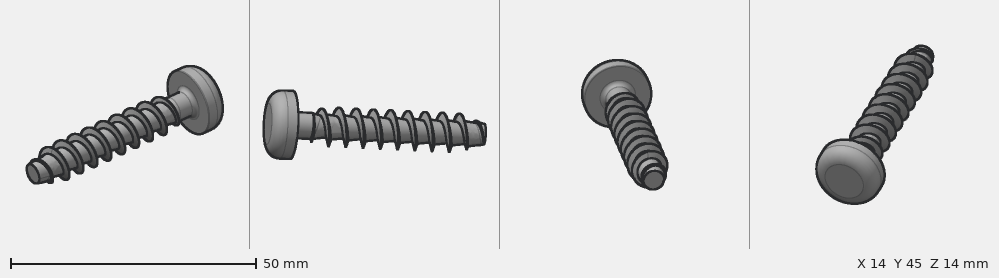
import cadquery as cq
import math


head_radius = 7.0
head_height = 4.99
dome_radius = 2.8
rim_fillet = 0.15

shank_length = 40.0
shank_radius = 2.7
neck_fillet = 1.0
neck_length = 4.0
head_overlap = 0.5
core_radius = 2.27
core_start = -5.7
tip_radius = 2.13
tip_cone_slope = 0.22

pitch = 3.59
thread_radius = 4.0
crest_half_width = 0.05
root_half_width = 0.65
root_radius = 2.1
runin_radius = 3.2
runin_z = -4.11
runin_angle = 90.0
runin_turns = 1.0
fin_sweep = 180.0
fin_end_radius = 2.6
runout_turns = 1.4
end_crest_radius = 2.2
thread_end_gap = 0.3

ramp_radius = 2.67
ramp_top_offset = -0.15
ramp_slope = (ramp_radius - core_radius) / (pitch - root_half_width + ramp_top_offset)
ramp_gap = 0.3
ramp_length = pitch - ramp_gap
ramp_base_radius = 1.8
ramp_clearance = 0.1
ramp_lead_turns = 0.5

tip_z = -shank_length
straight_helix = 360.0


def angle_at(z):
    """Direction, in degrees, of the thread centre line at height z."""
    return runin_angle + 360.0 * (z - runin_z) / pitch


def helix_edge(radius, radius_slope, z_bottom, z_top, offset):
    """Helix of the thread centre line between two heights, shifted along the axis by
    offset. The radius starts at the bottom and grows by radius_slope per millimetre."""
    half_angle = math.atan(radius_slope)
    stretch = 1.0 / math.cos(half_angle)
    helix = cq.Wire.makeHelix(
        pitch * stretch,
        (z_top - z_bottom) * stretch,
        radius,
        angle=math.degrees(half_angle) if radius_slope else straight_helix,
    )
    helix = helix.rotate(cq.Vector(0, 0, 0), cq.Vector(0, 0, 1), angle_at(z_bottom))
    return helix.translate(cq.Vector(0, 0, z_bottom + offset)).Edges()[0]


def section_point(radius, offset, z):
    """Point of a thread section placed at height z of the centre line."""
    turn = math.radians(angle_at(z))
    return cq.Vector(radius * math.cos(turn), radius * math.sin(turn), z + offset)


def helical_solid(profile, stations):
    """Solid swept by a (radius, offset) profile along the thread centre line.
    Stations are (z, radius shift) pairs from bottom to top; the shift is linear between."""
    faces = []
    for (z_low, shift_low), (z_high, shift_high) in zip(stations, stations[1:]):
        slope = (shift_high - shift_low) / (z_high - z_low)
        edges = [helix_edge(r + shift_low, slope, z_low, z_high, dz) for r, dz in profile]
        for edge, next_edge in zip(edges, edges[1:] + edges[:1]):
            faces.append(cq.Face.makeRuledSurface(edge, next_edge))
    for z, shift in (stations[0], stations[-1]):
        corners = [section_point(r + shift, dz, z) for r, dz in profile]
        faces.append(cq.Face.makeFromWires(cq.Wire.makePolygon(corners, close=True)))
    shell = cq.Shell.makeShell(faces)
    return cq.Workplane(cq.Solid.makeSolid(shell).fix())


def make_head():
    """Pan head with a domed top edge and a lightly rounded lower rim."""
    head = cq.Workplane("XY").circle(head_radius).extrude(head_height)
    head = head.faces(">Z").edges().fillet(dome_radius)
    return head.faces("<Z").edges().fillet(rim_fillet)


def make_core():
    """Shank with its neck fillet, narrowing to the core and the tip cone."""
    cone_height = (core_radius - tip_radius) / tip_cone_slope
    arc_mid = neck_fillet * (1.0 - math.sqrt(0.5))
    return (
        cq.Workplane("XZ")
        .moveTo(0, head_overlap)
        .lineTo(shank_radius + neck_fillet, head_overlap)
        .lineTo(shank_radius + neck_fillet, 0)
        .threePointArc((shank_radius + arc_mid, -arc_mid), (shank_radius, -neck_fillet))
        .lineTo(shank_radius, -neck_length)
        .lineTo(core_radius, core_start)
        .lineTo(core_radius, tip_z + cone_height)
        .lineTo(tip_radius, tip_z)
        .lineTo(0, tip_z)
        .close()
        .revolve(360, (0, 0, 0), (0, 1, 0))
    )


def make_root_ramp():
    """Helical swelling of the core, trimmed by the tip cone."""
    profile = [
        (ramp_base_radius, ramp_top_offset),
        (ramp_radius, ramp_top_offset),
        (ramp_radius - ramp_slope * ramp_length, ramp_top_offset - ramp_length),
        (ramp_base_radius, ramp_top_offset - ramp_length),
    ]
    z_bottom = tip_z - ramp_lead_turns * pitch
    z_top = runin_z + ramp_lead_turns * pitch
    ramp = helical_solid(profile, [(z_bottom, 0), (z_top, 0)])
    limit_radius = ramp_radius + ramp_clearance
    cone_top = tip_z + (limit_radius - tip_radius) / tip_cone_slope
    limit = (
        cq.Workplane("XZ")
        .moveTo(0, tip_z)
        .lineTo(tip_radius, tip_z)
        .lineTo(limit_radius, cone_top)
        .lineTo(limit_radius, 0)
        .lineTo(0, 0)
        .close()
        .revolve(360, (0, 0, 0), (0, 1, 0))
    )
    return ramp.intersect(limit)


def make_thread():
    """Main thread: rises over the first turn and sinks into the core at the tip."""
    profile = [
        (root_radius, root_half_width),
        (thread_radius, crest_half_width),
        (thread_radius, -crest_half_width),
        (root_radius, -root_half_width),
    ]
    end_z = tip_z + thread_end_gap
    stations = [
        (end_z, end_crest_radius - thread_radius),
        (end_z + runout_turns * pitch, 0),
        (runin_z - runin_turns * pitch, 0),
        (runin_z, runin_radius - thread_radius),
    ]
    below_tip = cq.Workplane("XY").workplane(offset=tip_z).circle(head_radius).extrude(-pitch)
    return helical_solid(profile, stations).cut(below_tip)


def make_runin_fin():
    """Flat eccentric half ring that leads from the shank surface up to the thread start."""
    eccentricity = (runin_radius - fin_end_radius) / 2.0
    shift = runin_radius - thread_radius
    return (
        cq.Workplane("YZ")
        .polyline([
            (root_radius + shift, runin_z + root_half_width),
            (runin_radius, runin_z + crest_half_width),
            (runin_radius, runin_z - crest_half_width),
            (root_radius + shift, runin_z - root_half_width),
        ])
        .close()
        .revolve(fin_sweep, (eccentricity, 0, 0), (eccentricity, 1, 0))
    )


screw = make_head().union(make_core())
screw = screw.union(make_root_ramp())
screw = screw.union(make_thread())
screw = screw.union(make_runin_fin())

result = screw.rotate((0, 0, 0), (1, 0, 0), -90)